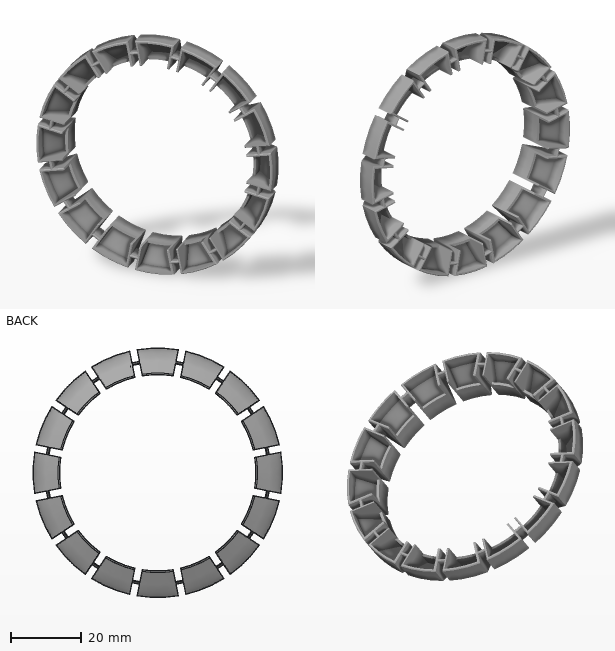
import cadquery as cq
import math

SEGMENTS = 16
OUTER_RADIUS = 35.35
INNER_RADIUS = 27.8
DEPTH = 11.8
GAP = 2.1

RIM_DEPTH = 5.65
CONE_END_RADIUS = 28.3
FRONT_CHAMFER = 0.25

OUTER_WALL = 0.7
SIDE_WALL = 0.65
INNER_WALL = 0.8
ROOF_START = 4.4
INNER_WALL_START = 5.65

WEB_RADIUS = 31.6
WEB_THICKNESS = 0.8
WEB_DEPTH = 5.65
WEB_BACK_CHAMFER = 0.6

PITCH = 360.0 / SEGMENTS
CONE_SLOPE = (DEPTH - RIM_DEPTH) / (OUTER_RADIUS - CONE_END_RADIUS)
MARGIN = 0.7


def revolve_profile(points):
    """Revolve a closed (radius, y) outline around the Y axis."""
    return cq.Workplane("XY").polyline(points).close().revolve(360, (0, 0, 0), (0, 1, 0))


def around_ring(shape, phase):
    """Repeat a shape once per segment, turned by phase degrees about the Y axis."""
    copies = [
        shape.rotate((0, 0, 0), (0, 1, 0), phase + index * PITCH).val()
        for index in range(SEGMENTS)
    ]
    return cq.Workplane("XY").newObject(copies).combine()


def wedge(side_offset):
    """Prism along Y centred on +X, its sides set in by side_offset from the pitch lines."""
    half_pitch = math.radians(PITCH / 2)
    apex = side_offset / math.sin(half_pitch)
    reach = 2 * OUTER_RADIUS
    half_width = (reach - apex) * math.tan(half_pitch)
    outline = [(apex, 0), (reach, half_width), (reach, -half_width)]
    return cq.Workplane("XZ").polyline(outline).close().extrude(2 * DEPTH, both=True)


def make_body():
    """Solid segment without its cavity."""
    envelope = revolve_profile([
        (INNER_RADIUS, 0),
        (OUTER_RADIUS, 0),
        (OUTER_RADIUS, RIM_DEPTH),
        (CONE_END_RADIUS, DEPTH),
        (INNER_RADIUS, DEPTH),
    ])
    return envelope.intersect(wedge(GAP / 2))


def make_cavity():
    """Space inside a segment, reaching out through its open front and inner side."""
    outer = OUTER_RADIUS - OUTER_WALL
    back = INNER_RADIUS + INNER_WALL
    opening = INNER_RADIUS - MARGIN
    roof_end = ROOF_START + CONE_SLOPE * (outer - back)
    space = revolve_profile([
        (opening, -MARGIN),
        (outer, -MARGIN),
        (outer, ROOF_START),
        (back, roof_end),
        (back, INNER_WALL_START),
        (opening, INNER_WALL_START),
    ])
    return space.intersect(wedge(GAP / 2 + SIDE_WALL))


def make_web():
    """Flat web along Y at +X, bevelled on its outer back edge."""
    inner = WEB_RADIUS - WEB_THICKNESS / 2
    outer = WEB_RADIUS + WEB_THICKNESS / 2
    outline = [
        (inner, 0),
        (outer, 0),
        (outer, WEB_DEPTH - WEB_BACK_CHAMFER),
        (outer - WEB_BACK_CHAMFER, WEB_DEPTH),
        (inner, WEB_DEPTH),
    ]
    return cq.Workplane("XY").polyline(outline).close().extrude(GAP / 2 + SIDE_WALL / 2, both=True)


ring = around_ring(make_body(), 0).union(around_ring(make_web(), PITCH / 2))
ring = ring.faces("<Y").edges().chamfer(FRONT_CHAMFER)
result = ring.cut(around_ring(make_cavity(), 0))